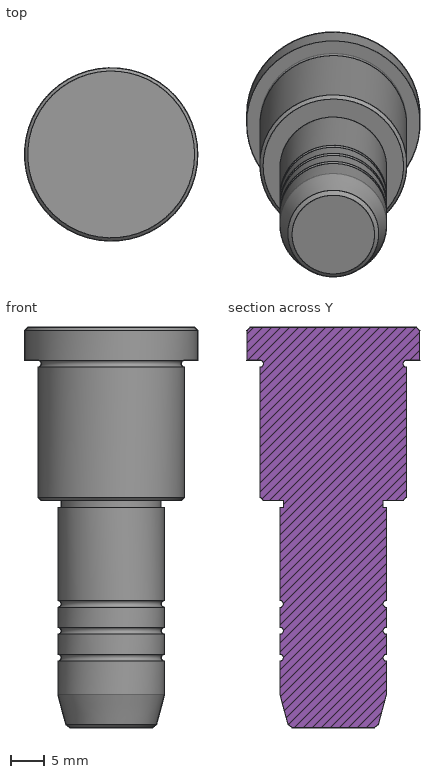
import cadquery as cq
import math

total_length = 60
head_height = 5.0
body_length = 21
undercut_width = 1.0
taper_length = 5.0

head_radius = 26.0 / 2
body_radius = 22.0 / 2
shank_radius = 16.0 / 2
undercut_radius = 15 / 2
taper_angle = math.radians(15)

edge_chamfer = 0.5
groove_radius = 0.5
first_groove_z = 10.5
groove_pitch = 4.0
groove_count = 3

head_bottom = total_length - head_height
body_bottom = head_bottom - body_length
shank_top = body_bottom - undercut_width
tip_radius = shank_radius - taper_length * math.tan(taper_angle)


def cylinder(radius, bottom, top):
    """Solid cylinder about Z between two heights."""
    return cq.Workplane("XY").workplane(offset=bottom).circle(radius).extrude(top - bottom)


def ring_groove(surface_radius, center_z):
    """Ring of round section that cuts a half-round groove into a cylinder."""
    return (
        cq.Workplane("XZ")
        .center(surface_radius, center_z)
        .circle(groove_radius)
        .revolve(360, (-surface_radius, 0), (-surface_radius, 1))
    )


head = cylinder(head_radius, head_bottom, total_length).faces(">Z").edges().chamfer(edge_chamfer)
body = cylinder(body_radius, body_bottom, head_bottom).faces("<Z").edges().chamfer(edge_chamfer)
body = body.cut(ring_groove(body_radius, head_bottom - groove_radius))

neck = cylinder(undercut_radius, shank_top, body_bottom)

shank = cylinder(shank_radius, taper_length, shank_top)
for index in range(groove_count):
    shank = shank.cut(ring_groove(shank_radius, first_groove_z + index * groove_pitch))

lead_in = cq.Workplane(
    cq.Solid.makeCone(tip_radius, shank_radius, taper_length)
).faces("<Z").edges().chamfer(edge_chamfer)

result = head.union(body).union(neck).union(shank).union(lead_in)